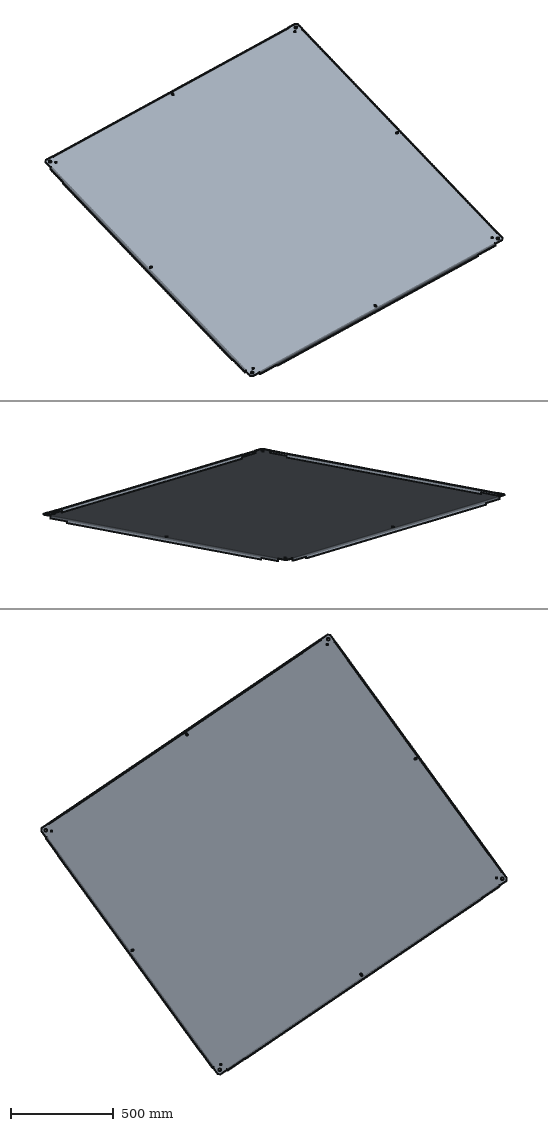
import cadquery as cq

LENGTH = 1725.61
WIDTH = 1522.41
HEIGHT = 22.23

SHEET = 2.66
BEND_RADIUS = 6.35

CORNER_TAB = 52.0
CORNER_CHAMFER = 9.5
TAB_SETBACK = 1.6

SHALLOW_DEPTH = 14.3
FULL_DEPTH_INSET = 157.0

CORNER_HOLE_DIAMETER = 12.7
CORNER_HOLE_INSET = 22.0
SMALL_HOLE_DIAMETER = 7.14
SMALL_HOLE_INSET = 42.0
EDGE_SLOT_INSET = 20.0
EDGE_SLOT_LENGTH = 12.7
EDGE_SLOT_WIDTH = SMALL_HOLE_DIAMETER


def make_sheet():
    """Flat sheet with chamfered corners; its top face lies at Z = 0."""
    length = LENGTH - 2 * TAB_SETBACK
    width = WIDTH - 2 * TAB_SETBACK
    sheet = cq.Workplane("XY").box(length, width, SHEET, centered=(True, True, False))
    return sheet.edges("|Z").chamfer(CORNER_CHAMFER).translate((0, 0, -SHEET))


def bend_zone(span, reach):
    """Square-edged strip along X that the rounded bend replaces, outer side at Y = -reach."""
    strip = cq.Workplane("XY").box(span, BEND_RADIUS, SHEET, centered=(True, False, False))
    return strip.translate((0, -reach, -SHEET))


def make_flange(length, reach):
    """Bent flange along X with its outer face at Y = -reach."""
    span = length - 2 * CORNER_TAB
    inner_radius = BEND_RADIUS - SHEET
    profile = (
        cq.Workplane("YZ")
        .moveTo(-reach + BEND_RADIUS, 0)
        .radiusArc((-reach, -BEND_RADIUS), -BEND_RADIUS)
        .lineTo(-reach, -HEIGHT)
        .lineTo(-reach + SHEET, -HEIGHT)
        .lineTo(-reach + SHEET, -BEND_RADIUS)
        .radiusArc((-reach + BEND_RADIUS, -SHEET), inner_radius)
        .close()
    )
    flange = profile.extrude(span / 2, both=True)
    step_length = FULL_DEPTH_INSET - CORNER_TAB
    step_height = HEIGHT - SHALLOW_DEPTH
    for side in (-1, 1):
        step = cq.Workplane("XY").box(step_length, 2 * BEND_RADIUS, step_height)
        x = side * (span - step_length) / 2
        flange = flange.cut(step.translate((x, -reach, -HEIGHT + step_height / 2)))
    return flange


def panel_sides():
    """Turn about Z, edge length and distance from the centre for each side of the panel."""
    along_x = (LENGTH, WIDTH / 2)
    along_y = (WIDTH, LENGTH / 2)
    return [(0, *along_x), (90, *along_y), (180, *along_x), (270, *along_y)]


def turn(shape, angle):
    """Rotate a shape about the panel's vertical centre line."""
    return shape.rotate((0, 0, 0), (0, 0, 1), angle)


def add_flanges(panel):
    """Replace the sheet border between the corner tabs by four bent flanges."""
    for angle, length, reach in panel_sides():
        panel = panel.cut(turn(bend_zone(length - 2 * CORNER_TAB, reach), angle))
        panel = panel.union(turn(make_flange(length, reach), angle))
    return panel


def corner_points(inset):
    """The four points set in from both edges by the same distance."""
    x = LENGTH / 2 - inset
    y = WIDTH / 2 - inset
    return [(-x, -y), (x, -y), (x, y), (-x, y)]


def drill(panel, points, diameter):
    """Round holes through the sheet."""
    holes = cq.Workplane("XY").pushPoints(points).circle(diameter / 2).extrude(-SHEET)
    return panel.cut(holes)


def cut_edge_slots(panel):
    """Slot at the middle of each edge, running square to that edge."""
    for angle, _, reach in panel_sides():
        slot = (
            cq.Workplane("XY")
            .center(0, -reach + EDGE_SLOT_INSET)
            .slot2D(EDGE_SLOT_LENGTH, EDGE_SLOT_WIDTH, 90)
            .extrude(-SHEET)
        )
        panel = panel.cut(turn(slot, angle))
    return panel


panel = add_flanges(make_sheet())
panel = drill(panel, corner_points(CORNER_HOLE_INSET), CORNER_HOLE_DIAMETER)
panel = drill(panel, corner_points(SMALL_HOLE_INSET), SMALL_HOLE_DIAMETER)
result = cut_edge_slots(panel)